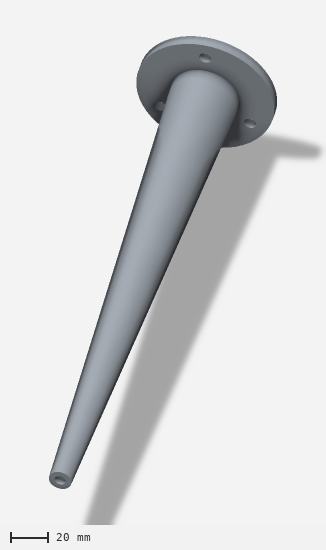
import cadquery as cq

total_length = 304.8
flange_diameter = 76.2
flange_thickness = 6.0
leg_root_diameter = 38.0
leg_tip_diameter = 12.5
bore_diameter = 6.0
screw_hole_diameter = 6.7
screw_circle_radius = 28.5
screw_count = 3

flange_back_y = total_length / 2
flange_front_y = flange_back_y - flange_thickness
tip_y = -total_length / 2


def make_body():
    """Flange and tapered leg, revolved about the Y axis."""
    profile = (
        cq.Workplane("XY")
        .moveTo(0, tip_y)
        .lineTo(leg_tip_diameter / 2, tip_y)
        .lineTo(leg_root_diameter / 2, flange_front_y)
        .lineTo(flange_diameter / 2, flange_front_y)
        .lineTo(flange_diameter / 2, flange_back_y)
        .lineTo(0, flange_back_y)
        .close()
    )
    return profile.revolve(360, (0, 0, 0), (0, 1, 0))


def make_center_bore():
    """Bore running the full length of the leg."""
    plane = cq.Workplane("XZ", origin=(0, flange_back_y, 0))
    return plane.circle(bore_diameter / 2).extrude(total_length)


def make_screw_holes():
    """Through holes in the flange, the first one straight up in Z."""
    return (
        cq.Workplane("XZ", origin=(0, flange_back_y, 0))
        .polarArray(screw_circle_radius, 90, 360, screw_count)
        .circle(screw_hole_diameter / 2)
        .extrude(flange_thickness)
    )


result = make_body().cut(make_center_bore()).cut(make_screw_holes())